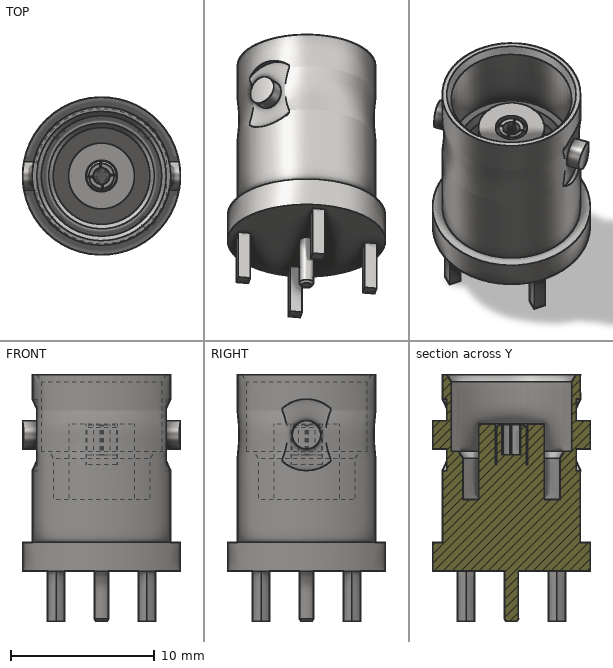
import cadquery as cq

TOTAL_HEIGHT = 17.2
FLANGE_BOTTOM = 3.51
FLANGE_TOP = 5.5
LUG_HEIGHT = 13.0

FLANGE_DIAMETER = 11
BARREL_DIAMETER = 9.65
GROOVE_HALF_WIDTH = 1.69
GROOVE_WAIST_DIAMETER = 9.43

LUG_DIAMETER = 1.98
LUG_SEAT_DIAMETER = 4.99
LUG_SEAT_DISTANCE = 4.52

MOUTH_DIAMETER = 9.01
BORE_DIAMETER = 8.4
STEP_DIAMETER = 7.36
DEEP_BORE_DIAMETER = 6.75
LEAD_IN_DEPTH = 0.5
STEP_HEIGHT = 11.87
SOCKET_FLOOR = 8.5

INSULATOR_DIAMETER = 4.6
INSULATOR_TOP = 13.76
CONTACT_WELL_DIAMETER = 2.2
CONTACT_DIAMETER = 2.1
CONTACT_BORE_DIAMETER = 1.15
CONTACT_TOP = INSULATOR_TOP - 0.07
CONTACT_CHAMFER = 0.17
CONTACT_DEPTH = 2.75
SLIT_WIDTH = 0.1
SLIT_DEPTH = 2.06
SLIT_COUNT = 2
SLIT_ANGLE = 4.5

LEG_DIAGONAL = 1.2
LEG_OFFSET = 3.16
PIN_DIAMETER = 1.0
PIN_TIP_CHAMFER = 0.12
PIN_TIP_LENGTH = 0.19


def cylinder(diameter, bottom, top):
    """Vertical cylinder centred on the part axis."""
    return cq.Workplane("XY").workplane(offset=bottom).circle(diameter / 2).extrude(top - bottom)


def make_outer_body():
    """Flange and barrel, with a concave groove around the barrel."""
    barrel_radius = BARREL_DIAMETER / 2
    groove_bottom = LUG_HEIGHT - GROOVE_HALF_WIDTH
    groove_top = LUG_HEIGHT + GROOVE_HALF_WIDTH
    return (
        cq.Workplane("XZ")
        .moveTo(0, FLANGE_BOTTOM)
        .lineTo(FLANGE_DIAMETER / 2, FLANGE_BOTTOM)
        .lineTo(FLANGE_DIAMETER / 2, FLANGE_TOP)
        .lineTo(barrel_radius, FLANGE_TOP)
        .lineTo(barrel_radius, groove_bottom)
        .threePointArc((GROOVE_WAIST_DIAMETER / 2, LUG_HEIGHT), (barrel_radius, groove_top))
        .lineTo(barrel_radius, TOTAL_HEIGHT)
        .lineTo(0, TOTAL_HEIGHT)
        .close()
        .revolve(360, (0, 0, 0), (0, 1, 0))
    )


def make_socket():
    """Stepped bore with a conical lead-in at the mouth and at the step."""
    return (
        cq.Workplane("XZ")
        .moveTo(0, SOCKET_FLOOR)
        .lineTo(DEEP_BORE_DIAMETER / 2, SOCKET_FLOOR)
        .lineTo(DEEP_BORE_DIAMETER / 2, STEP_HEIGHT - LEAD_IN_DEPTH)
        .lineTo(STEP_DIAMETER / 2, STEP_HEIGHT)
        .lineTo(BORE_DIAMETER / 2, STEP_HEIGHT)
        .lineTo(BORE_DIAMETER / 2, TOTAL_HEIGHT - LEAD_IN_DEPTH)
        .lineTo(MOUTH_DIAMETER / 2, TOTAL_HEIGHT)
        .lineTo(0, TOTAL_HEIGHT)
        .close()
        .revolve(360, (0, 0, 0), (0, 1, 0))
    )


def make_lug_seats():
    """Cutters for the round flats on the -X and +X sides of the barrel."""
    seats = cq.Workplane("YZ").center(0, LUG_HEIGHT).circle(LUG_SEAT_DIAMETER / 2)
    seats = seats.extrude(FLANGE_DIAMETER / 2, both=True)
    core = cq.Workplane("XY").workplane(offset=FLANGE_TOP)
    core = core.rect(2 * LUG_SEAT_DISTANCE, FLANGE_DIAMETER).extrude(TOTAL_HEIGHT - FLANGE_TOP)
    return seats.cut(core)


def make_lugs():
    """Lugs on both flats, with ends rounded to the flange diameter."""
    lugs = cq.Workplane("YZ").center(0, LUG_HEIGHT).circle(LUG_DIAMETER / 2)
    lugs = lugs.extrude(FLANGE_DIAMETER / 2, both=True)
    lugs = lugs.intersect(cylinder(FLANGE_DIAMETER, FLANGE_TOP, TOTAL_HEIGHT))
    root_diameter = (BORE_DIAMETER + 2 * LUG_SEAT_DISTANCE) / 2
    return lugs.cut(cylinder(root_diameter, FLANGE_TOP, TOTAL_HEIGHT))


def make_contact():
    """Chamfered tubular contact split into four fingers."""
    bottom = CONTACT_TOP - CONTACT_DEPTH
    contact = cylinder(CONTACT_DIAMETER, bottom, CONTACT_TOP)
    contact = contact.faces(">Z").edges().chamfer(CONTACT_CHAMFER)
    slit_bottom = CONTACT_TOP - SLIT_DEPTH
    contact = contact.cut(cylinder(CONTACT_BORE_DIAMETER, slit_bottom, CONTACT_TOP))
    for index in range(SLIT_COUNT):
        slit = cq.Workplane("XY").workplane(offset=slit_bottom)
        slit = slit.rect(CONTACT_DIAMETER, SLIT_WIDTH).extrude(SLIT_DEPTH)
        angle = SLIT_ANGLE + index * 180 / SLIT_COUNT
        contact = contact.cut(slit.rotate((0, 0, 0), (0, 0, 1), angle))
    return contact


def make_insulator():
    """Insulator post holding the contact in a round well."""
    well_floor = CONTACT_TOP - CONTACT_DEPTH
    post = cylinder(INSULATOR_DIAMETER, SOCKET_FLOOR, INSULATOR_TOP)
    post = post.cut(cylinder(CONTACT_WELL_DIAMETER, well_floor, INSULATOR_TOP))
    return post.union(make_contact())


def make_legs():
    """Four square legs turned so their corners face along X and Y."""
    return (
        cq.Workplane("XY")
        .rect(2 * LEG_OFFSET, 2 * LEG_OFFSET, forConstruction=True)
        .vertices()
        .polygon(4, LEG_DIAGONAL)
        .extrude(FLANGE_BOTTOM)
    )


def make_pin():
    """Centre pin with a chamfered tip."""
    pin = cylinder(PIN_DIAMETER, 0, FLANGE_BOTTOM)
    return pin.faces("<Z").edges().chamfer(PIN_TIP_LENGTH, PIN_TIP_CHAMFER)


result = (
    make_outer_body()
    .cut(make_socket())
    .cut(make_lug_seats())
    .union(make_lugs())
    .union(make_insulator())
    .union(make_legs())
    .union(make_pin())
)